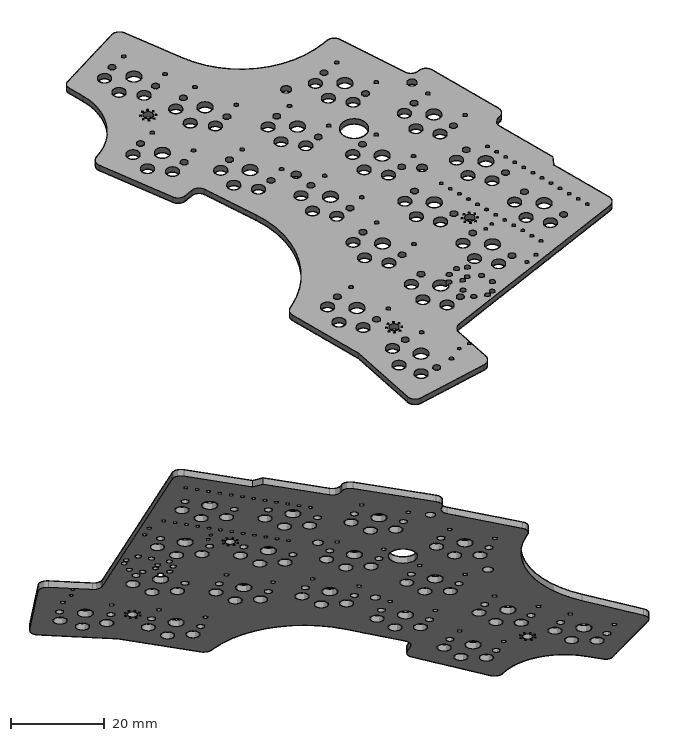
import cadquery as cq
import math


LENGTH_Y = 81.77
THICKNESS = 1.6

CORNER_RADIUS = 2.0
PINKY_CORNER_RADIUS = 1.5
UPPER_SWEEP_RADIUS = 23.2
PINKY_SWEEP_RADIUS = 14.7
THUMB_SWEEP_RADIUS = 23.4

TOP_Y = LENGTH_Y / 2
INDEX_EDGE_Y = 36.75
INNER_EDGE_Y = 34.95
STEP_CHAMFER = INDEX_EDGE_Y - INNER_EDGE_Y
CHAMFER_START_X = 32.45
THUMB_EDGE_Y = -37.2
PINKY_EDGE_Y = -13.7
MIDDLE_LEFT_X = -6.95
MIDDLE_RIGHT_X = 15.6
RING_TOP_LEFT_X = -28.0
RING_BOTTOM_LEFT_X = -19.35

OUTLINE = [
    (-64.41, 6.93, CORNER_RADIUS),
    (RING_TOP_LEFT_X, 12.05, UPPER_SWEEP_RADIUS),
    (RING_TOP_LEFT_X, 35.3, CORNER_RADIUS),
    (MIDDLE_LEFT_X, 36.75, CORNER_RADIUS),
    (MIDDLE_LEFT_X, TOP_Y, CORNER_RADIUS),
    (MIDDLE_RIGHT_X, TOP_Y, CORNER_RADIUS),
    (MIDDLE_RIGHT_X, INDEX_EDGE_Y, CORNER_RADIUS),
    (CHAMFER_START_X, INDEX_EDGE_Y, 0),
    (CHAMFER_START_X + STEP_CHAMFER, INNER_EDGE_Y, 0),
    (51.62, INNER_EDGE_Y, CORNER_RADIUS),
    (51.3, -17.9, CORNER_RADIUS),
    (64.08, -20.68, CORNER_RADIUS),
    (59.75, -41.26, CORNER_RADIUS),
    (40.9, THUMB_EDGE_Y, 0),
    (20.95, THUMB_EDGE_Y, CORNER_RADIUS),
    (15.1, -16.9, THUMB_SWEEP_RADIUS),
    (RING_BOTTOM_LEFT_X, -19.35, CORNER_RADIUS),
    (RING_BOTTOM_LEFT_X, -25.2, CORNER_RADIUS),
    (-41.45, -28.3, CORNER_RADIUS),
    (-43.45, PINKY_EDGE_Y, PINKY_SWEEP_RADIUS),
    (-61.55, PINKY_EDGE_Y, PINKY_CORNER_RADIUS),
]

KEY_PITCH_X = 18.0
KEY_PITCH_Y = 17.0
INDEX_STAGGER = 4.0
INNER_STAGGER = 2.0
THUMB_DROP = 19.0
SWITCH_CENTRE_DIAMETER = 3.43
SWITCH_PEG_DIAMETER = 1.7
SWITCH_PIN_DIAMETER = 3.0
SWITCH_CLIP_DIAMETER = 0.99
SWITCH_PEG_X = 5.5
SWITCH_PIN_X = 5.0
SWITCH_PIN_Y = -3.8
SWITCH_MIDDLE_PIN_Y = -5.9
SWITCH_CLIP_X = 5.22
SWITCH_CLIP_Y = 4.2

MIDDLE_COLUMN = (4.43, 13.42)
INDEX_COLUMN = (MIDDLE_COLUMN[0] + KEY_PITCH_X, MIDDLE_COLUMN[1] - INDEX_STAGGER)
INNER_COLUMN = (INDEX_COLUMN[0] + KEY_PITCH_X, INDEX_COLUMN[1] - INNER_STAGGER)
RING_COLUMN = (-15.23, 8.66)
RING_TILT = 4.0

PINKY_KEY = (-34.18, 0.51)
PINKY_TILT = 8.0
THUMB_KEY = (INDEX_COLUMN[0] + KEY_PITCH_X / 2, INDEX_COLUMN[1] - KEY_PITCH_Y - THUMB_DROP)
OUTER_THUMB_KEY = (51.14, -28.65)
OUTER_THUMB_TILT = -12.0

CONTROLLER_PIN_DIAMETER = 0.81
CONTROLLER_PIN_COUNT = 12
CONTROLLER_PIN_PITCH = 2.54
CONTROLLER_ROW_SPACING = 15.24
CONTROLLER_CENTRE = (33.68, 22.55)

JACK_CENTRE = (46.45, -4.6)
JACK_PIN_DIAMETER = 1.3
JACK_PEG_DIAMETER = 1.2
JACK_PIN_XS = (-5.4, -1.4, 1.6)
JACK_PIN_Y = 3.05
JACK_SLEEVE_X = -6.85
JACK_SLEEVE_Y = 1.2
JACK_PEG_X = 3.5
JACK_PEG_Y = 0.75

BATTERY_PIN_DIAMETER = 0.75
BATTERY_CENTRE = (36.2, 11.2)
BATTERY_PIN_PITCH = 2.0
SLIDER_LOCATOR_DIAMETER = 0.9
SLIDER_CENTRE = (49.65, 9.45)
SLIDER_LOCATOR_PITCH = 3.0
EDGE_PIN_DIAMETER = 0.75
EDGE_PINS = [(56.9, -19.6), (56.35, -22.15)]

TENT_CENTRE = (-5.62, 16.0)
TENT_HOLE_DIAMETER = 6.2
TENT_SCREW_DIAMETER = 2.2
TENT_PIN_DIAMETER = 2.3
TENT_OFFSET = 19.05

MOUNT_DIAMETER = 2.2
MOUNT_VIA_DIAMETER = 0.4
MOUNT_VIA_RADIUS = 1.65
MOUNT_VIA_COUNT = 8
MOUNTS = [(31.35, 10.65), (-41.8, -9.25), (41.38, -26.05)]


def placed(points, origin, tilt):
    """Turns points by tilt degrees and moves them to origin."""
    cos_tilt = math.cos(math.radians(tilt))
    sin_tilt = math.sin(math.radians(tilt))
    return [
        (origin[0] + x * cos_tilt - y * sin_tilt, origin[1] + x * sin_tilt + y * cos_tilt)
        for x, y in points
    ]


def board():
    """Plate bounded by straight edges, each corner rounded by a tangent arc."""
    path = None
    for i, (x, y, radius) in enumerate(OUTLINE):
        corner = cq.Vector(x, y)
        to_previous = (cq.Vector(*OUTLINE[i - 1][:2]) - corner).normalized()
        to_next = (cq.Vector(*OUTLINE[(i + 1) % len(OUTLINE)][:2]) - corner).normalized()
        half_angle = to_previous.getAngle(to_next) / 2
        tangent_length = radius / math.tan(half_angle)
        arc_start = corner + to_previous * tangent_length
        arc_end = corner + to_next * tangent_length
        bisector = (to_previous + to_next).normalized()
        arc_middle = corner + bisector * (radius / math.sin(half_angle) - radius)
        if path is None:
            path = cq.Workplane("XY", origin=(0, 0, -THICKNESS / 2)).moveTo(arc_start.x, arc_start.y)
        else:
            path = path.lineTo(arc_start.x, arc_start.y)
        if radius:
            path = path.threePointArc(arc_middle.toTuple()[:2], arc_end.toTuple()[:2])
    return path.close().extrude(THICKNESS)


def drills(points, diameter):
    """Through-hole cutters at the given points."""
    plane = cq.Workplane("XY", origin=(0, 0, -THICKNESS / 2))
    return plane.pushPoints(points).circle(diameter / 2).extrude(THICKNESS).vals()


def switch_drills(centre, tilt=0.0, clips=True):
    """Holes of one low-profile switch; clips are the two small holes above it."""
    pegs = [(-SWITCH_PEG_X, 0), (SWITCH_PEG_X, 0)]
    pins = [(-SWITCH_PIN_X, SWITCH_PIN_Y), (0, SWITCH_MIDDLE_PIN_Y), (SWITCH_PIN_X, SWITCH_PIN_Y)]
    cutters = drills([centre], SWITCH_CENTRE_DIAMETER)
    cutters += drills(placed(pegs, centre, tilt), SWITCH_PEG_DIAMETER)
    cutters += drills(placed(pins, centre, tilt), SWITCH_PIN_DIAMETER)
    if clips:
        clip_points = [(-SWITCH_CLIP_X, SWITCH_CLIP_Y), (SWITCH_CLIP_X, SWITCH_CLIP_Y)]
        cutters += drills(placed(clip_points, centre, tilt), SWITCH_CLIP_DIAMETER)
    return cutters


def column_drills(middle_key, tilt, rows_with_clips):
    """Three switches in a column; rows are counted from the bottom, 0 to 2."""
    cutters = []
    for row in range(3):
        centre = placed([(0, (row - 1) * KEY_PITCH_Y)], middle_key, tilt)[0]
        cutters += switch_drills(centre, tilt, row in rows_with_clips)
    return cutters


def key_drills():
    """Holes of all seventeen switches."""
    outer_pinky_key = placed([(-KEY_PITCH_X, 0)], PINKY_KEY, PINKY_TILT)[0]
    lower_pinky_key = placed([(0, -KEY_PITCH_Y)], PINKY_KEY, PINKY_TILT)[0]
    cutters = column_drills(RING_COLUMN, RING_TILT, (0, 1, 2))
    cutters += column_drills(MIDDLE_COLUMN, 0, (0, 1, 2))
    cutters += column_drills(INDEX_COLUMN, 0, (0,))
    cutters += column_drills(INNER_COLUMN, 0, ())
    for centre in (outer_pinky_key, PINKY_KEY, lower_pinky_key):
        cutters += switch_drills(centre, PINKY_TILT)
    cutters += switch_drills(THUMB_KEY)
    cutters += switch_drills(OUTER_THUMB_KEY, OUTER_THUMB_TILT)
    return cutters


def controller_drills():
    """Two rows of header pins for the controller module."""
    points = []
    for side in (-1, 1):
        for i in range(CONTROLLER_PIN_COUNT):
            x = (i - (CONTROLLER_PIN_COUNT - 1) / 2) * CONTROLLER_PIN_PITCH
            points.append((x, side * CONTROLLER_ROW_SPACING / 2))
    return drills(placed(points, CONTROLLER_CENTRE, 0), CONTROLLER_PIN_DIAMETER)


def jack_drills():
    """Reversible audio jack: every hole is mirrored about the jack's own axis."""
    pins = []
    pegs = []
    for side in (-1, 1):
        pins += [(x, side * JACK_PIN_Y) for x in JACK_PIN_XS]
        pins.append((JACK_SLEEVE_X, side * JACK_SLEEVE_Y))
        pegs += [(x, side * JACK_PEG_Y) for x in (-JACK_PEG_X, JACK_PEG_X)]
    cutters = drills(placed(pins, JACK_CENTRE, 0), JACK_PIN_DIAMETER)
    return cutters + drills(placed(pegs, JACK_CENTRE, 0), JACK_PEG_DIAMETER)


def power_drills():
    """Battery connector, slide switch locators and the two pins near the right edge."""
    battery = [(0, -BATTERY_PIN_PITCH / 2), (0, BATTERY_PIN_PITCH / 2)]
    locators = [(0, -SLIDER_LOCATOR_PITCH / 2), (0, SLIDER_LOCATOR_PITCH / 2)]
    cutters = drills(placed(battery, BATTERY_CENTRE, 0), BATTERY_PIN_DIAMETER)
    cutters += drills(placed(locators, SLIDER_CENTRE, 0), SLIDER_LOCATOR_DIAMETER)
    return cutters + drills(EDGE_PINS, EDGE_PIN_DIAMETER)


def tent_drills():
    """Large central hole with two screws above and below and two pins at its sides."""
    screws = [(0, -TENT_OFFSET), (0, TENT_OFFSET)]
    pins = [(-TENT_OFFSET, 0), (TENT_OFFSET, 0)]
    cutters = drills([TENT_CENTRE], TENT_HOLE_DIAMETER)
    cutters += drills(placed(screws, TENT_CENTRE, 0), TENT_SCREW_DIAMETER)
    return cutters + drills(placed(pins, TENT_CENTRE, 0), TENT_PIN_DIAMETER)


def mount_drills():
    """Screw holes, each ringed by small vias."""
    cutters = drills(MOUNTS, MOUNT_DIAMETER)
    for centre in MOUNTS:
        for i in range(MOUNT_VIA_COUNT):
            via = placed([(MOUNT_VIA_RADIUS, 0)], centre, i * 360 / MOUNT_VIA_COUNT)
            cutters += drills(via, MOUNT_VIA_DIAMETER)
    return cutters


all_drills = key_drills() + controller_drills() + jack_drills()
all_drills += power_drills() + tent_drills() + mount_drills()
result = cq.Workplane(board().val().cut(*all_drills))